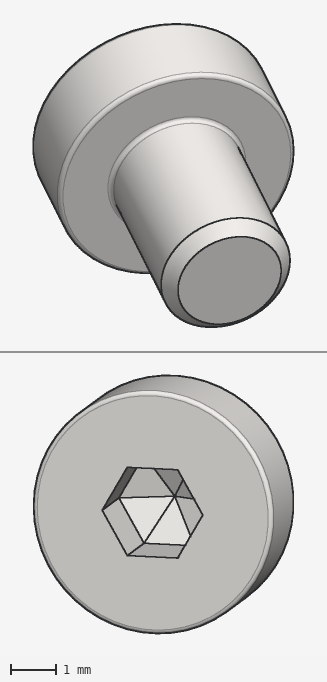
import cadquery as cq
import math

total_length = 6.0
head_diameter = 5.5
head_height = 2.0
head_edge_radius = 0.1
shank_diameter = 3.0
neck_fillet_radius = 0.1
tip_chamfer = 0.3

socket_across_flats = 2.0
socket_wall_depth = 1.5
socket_sides = 6
socket_corner_radius = socket_across_flats / 2 / math.cos(math.pi / socket_sides)
floor_point_depth = socket_across_flats / 4


def make_head():
    head = cq.Workplane("YZ").circle(head_diameter / 2).extrude(head_height)
    return head.edges().fillet(head_edge_radius)


def make_shank():
    shank = (
        cq.Workplane("YZ", origin=(head_height, 0, 0))
        .circle(shank_diameter / 2)
        .extrude(total_length - head_height)
    )
    return shank.faces(">X").chamfer(tip_chamfer)


def make_neck_fillet():
    """Ring under the head whose concave flank blends into the shank."""
    shank_radius = shank_diameter / 2
    arc_offset = neck_fillet_radius * (1 - math.sqrt(0.5))
    section = (
        cq.Workplane("XY")
        .moveTo(head_height, 0)
        .lineTo(head_height, shank_radius + neck_fillet_radius)
        .threePointArc(
            (head_height + arc_offset, shank_radius + arc_offset),
            (head_height + neck_fillet_radius, shank_radius),
        )
        .lineTo(head_height + neck_fillet_radius, 0)
        .close()
    )
    return section.revolve(360, (0, 0, 0), (1, 0, 0))


def make_socket_floor():
    """Pyramid that continues the socket from its walls to a point on the axis."""
    corners = []
    for index in range(socket_sides):
        angle = 2 * math.pi * index / socket_sides
        y = socket_corner_radius * math.cos(angle)
        z = socket_corner_radius * math.sin(angle)
        corners.append(cq.Vector(socket_wall_depth, y, z))
    point = cq.Vector(socket_wall_depth + floor_point_depth, 0, 0)

    faces = [cq.Face.makeFromWires(cq.Wire.makePolygon(corners, close=True))]
    for index, corner in enumerate(corners):
        next_corner = corners[(index + 1) % socket_sides]
        outline = cq.Wire.makePolygon([corner, next_corner, point], close=True)
        faces.append(cq.Face.makeFromWires(outline))
    return cq.Workplane(cq.Solid.makeSolid(cq.Shell.makeShell(faces)))


def make_socket():
    walls = (
        cq.Workplane("YZ")
        .polygon(socket_sides, 2 * socket_corner_radius)
        .extrude(socket_wall_depth)
    )
    return walls.union(make_socket_floor())


body = make_head().union(make_shank()).union(make_neck_fillet())
result = body.cut(make_socket())